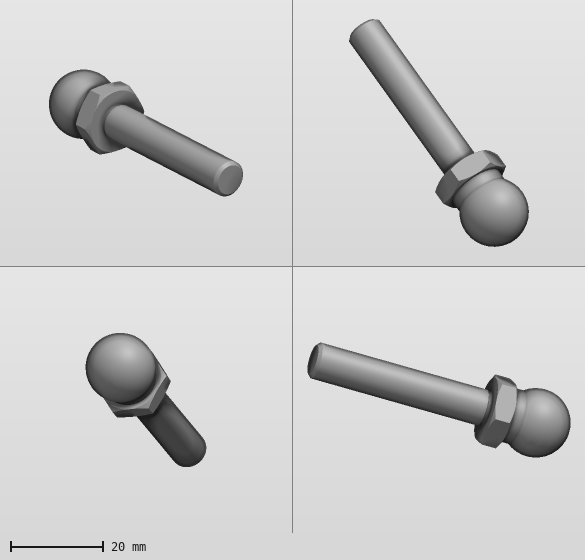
import cadquery as cq
import math

total_length = 59.0
ball_diameter = 15.0
neck_diameter = 12.0
shank_diameter = 8.0
hex_across_flats = 14.0
hex_start = 14.5
hex_thickness = 4.5
hex_chamfer_angle = 30.0
groove_radius = 0.5
tip_chamfer = 0.7

ball_radius = ball_diameter / 2
shank_radius = shank_diameter / 2
hex_end = hex_start + hex_thickness
hex_across_corners = hex_across_flats / math.cos(math.radians(30))


def cylinder_along_x(start, end, diameter):
    return cq.Workplane("YZ", origin=(start, 0, 0)).circle(diameter / 2).extrude(end - start)


def make_hex_collar():
    """Hexagon with corners on Y, both faces chamfered by a cone starting at the flats."""
    hexagon = (
        cq.Workplane("YZ", origin=(hex_start, 0, 0))
        .polygon(6, hex_across_corners)
        .extrude(hex_thickness)
    )
    corner_radius = hex_across_corners / 2
    face_radius = hex_across_flats / 2
    chamfer_depth = (corner_radius - face_radius) * math.tan(math.radians(hex_chamfer_angle))
    chamfer_envelope = (
        cq.Workplane("XY")
        .moveTo(hex_start, 0)
        .lineTo(hex_start, face_radius)
        .lineTo(hex_start + chamfer_depth, corner_radius)
        .lineTo(hex_end - chamfer_depth, corner_radius)
        .lineTo(hex_end, face_radius)
        .lineTo(hex_end, 0)
        .close()
        .revolve(360, (0, 0, 0), (1, 0, 0))
    )
    return hexagon.intersect(chamfer_envelope)


def make_shank():
    """Shank with a half-round relief groove behind the collar and a chamfered tip."""
    groove_end = hex_end + 2 * groove_radius
    profile = (
        cq.Workplane("XY")
        .moveTo(hex_end, 0)
        .lineTo(hex_end, shank_radius)
        .threePointArc(
            (hex_end + groove_radius, shank_radius - groove_radius),
            (groove_end, shank_radius),
        )
        .lineTo(total_length - tip_chamfer, shank_radius)
        .lineTo(total_length, shank_radius - tip_chamfer)
        .lineTo(total_length, 0)
        .close()
    )
    return profile.revolve(360, (0, 0, 0), (1, 0, 0))


ball = (
    cq.Workplane("XY")
    .sphere(ball_radius)
    .rotate((0, 0, 0), (0, 1, 0), 90)
    .translate((ball_radius, 0, 0))
)
neck = cylinder_along_x(ball_radius, hex_start, neck_diameter)

result = ball.union(neck).union(make_hex_collar()).union(make_shank())